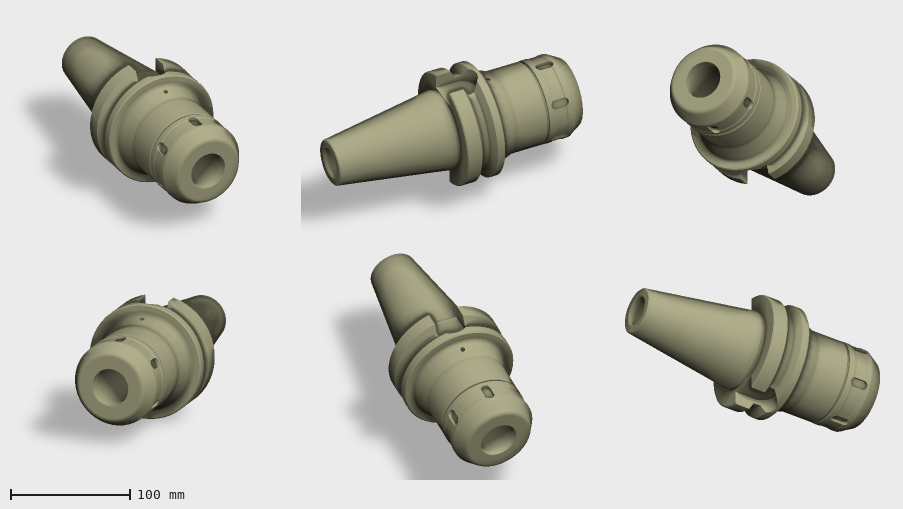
import cadquery as cq
import math


TAPER_LENGTH = 101.8
TAPER_RATIO = 7 / 24
GAUGE_RADIUS = 69.85 / 2
TAPER_SMALL_RADIUS = GAUGE_RADIUS - TAPER_LENGTH * TAPER_RATIO / 2
TAPER_END_CHAMFER = 0.9
NECK_RADIUS = 68.9 / 2
NECK_START = 0.6
NECK_END = 2.2
NECK_SHOULDER_RADIUS = 69.4 / 2

FLANGE_RADIUS = 50.0
FLANGE_START = 3.0
FLANGE_END = 38.0
FLANGE_CHAMFER = 1.0
GROOVE_RADIUS = 42.5
GROOVE_CENTRE = 23.45
GROOVE_FLOOR_WIDTH = 5.9
GROOVE_FLANK_ANGLE = math.radians(30)
GROOVE_FLANK_RUN = (FLANGE_RADIUS - GROOVE_RADIUS) * math.tan(GROOVE_FLANK_ANGLE)
GROOVE_FLOOR_START = GROOVE_CENTRE - GROOVE_FLOOR_WIDTH / 2
GROOVE_FLOOR_END = GROOVE_CENTRE + GROOVE_FLOOR_WIDTH / 2

DRIVE_SLOT_ANGLES = (0, 180)
DRIVE_SLOT_WIDTH = 25.7
DRIVE_SLOT_FLOOR = 35.4
DRIVE_SLOT_END = 34.2

BODY_RADIUS = 72.5 / 2
CONE_ROOT_RADIUS = 42.0
CONE_END = 54.5
CONE_FILLET = 2.3
BODY_END = 83.6
BODY_EDGE_CHAMFER = 0.6
UNDERCUT_RADIUS = 69.4 / 2

NUT_START = 85.5
NUT_END = 120.0
NUT_RADIUS = 73.0 / 2
NUT_BACK_CHAMFER = 0.5
BAND_RADIUS = 71.9 / 2
BAND_START = 90.7
BAND_FLOOR_START = 92.0
BAND_FLOOR_END = 102.2
BAND_END = 102.8
NOSE_ANGLE = math.radians(30)
NOSE_CONE_START = 107.4
NOSE_SHOULDER_FILLET = 2.6
NOSE_TIP_FILLET = 4.0

WRENCH_SLOT_COUNT = 6
WRENCH_SLOT_WIDTH = 8.0
WRENCH_SLOT_LENGTH = 16.0
WRENCH_SLOT_CENTRE = 97.2
WRENCH_SLOT_FLOOR = 32.5

SCREW_HOLE_X = 45.0
SCREW_HOLE_DIAMETER = 4.0
SCREW_TIP_DIAMETER = 3.4
SCREW_HOLE_FLOOR = 34.0
SCREW_HEAD_FLOOR = 37.0

ENTRY_RADIUS = 25.0 / 2
ENTRY_MOUTH_RADIUS = 27.0 / 2
ENTRY_DEPTH = 11.0
THREAD_RADIUS = 21.3 / 2
THREAD_END_DEPTH = 70.0
THREAD_CHAMFER_RADIUS = 24.0 / 2
THREAD_LEAD_IN = 0.8
THROUGH_RADIUS = 18.0 / 2
CLAMP_RADIUS = 32.0 / 2
CLAMP_MOUTH_RADIUS = 32.5 / 2
CLAMP_DEPTH = 90.0

EDGE_TOLERANCE = 0.001


def revolve_about_x(outline):
    return outline.close().revolve(360, (0, 0, 0), (1, 0, 0))


def fillet_circle(solid, x, radius, fillet):
    """Round the circular edge of the given radius that lies at position x on the axis."""

    def is_rim(edge):
        if edge.geomType() != "CIRCLE":
            return False
        same_place = math.isclose(edge.arcCenter().x, x, abs_tol=EDGE_TOLERANCE)
        return same_place and math.isclose(edge.radius(), radius, abs_tol=EDGE_TOLERANCE)

    return solid.edges().filter(is_rim).fillet(fillet)


def make_holder():
    tip_radius = NUT_RADIUS - (NUT_END - NOSE_CONE_START) * math.tan(NOSE_ANGLE)
    taper_rim_x = -TAPER_LENGTH + TAPER_END_CHAMFER
    taper_rim_radius = TAPER_SMALL_RADIUS + TAPER_END_CHAMFER * TAPER_RATIO / 2
    outline = (
        cq.Workplane("XY")
        .moveTo(-TAPER_LENGTH, 0)
        .lineTo(-TAPER_LENGTH, TAPER_SMALL_RADIUS - TAPER_END_CHAMFER)
        .lineTo(taper_rim_x, taper_rim_radius)
        .lineTo(0, GAUGE_RADIUS)
        .lineTo(NECK_START, NECK_RADIUS)
        .lineTo(NECK_END, NECK_RADIUS)
        .lineTo(FLANGE_START, NECK_SHOULDER_RADIUS)
        .lineTo(FLANGE_START, FLANGE_RADIUS - FLANGE_CHAMFER)
        .lineTo(FLANGE_START + FLANGE_CHAMFER, FLANGE_RADIUS)
        .lineTo(GROOVE_FLOOR_START - GROOVE_FLANK_RUN, FLANGE_RADIUS)
        .lineTo(GROOVE_FLOOR_START, GROOVE_RADIUS)
        .lineTo(GROOVE_FLOOR_END, GROOVE_RADIUS)
        .lineTo(GROOVE_FLOOR_END + GROOVE_FLANK_RUN, FLANGE_RADIUS)
        .lineTo(FLANGE_END - FLANGE_CHAMFER, FLANGE_RADIUS)
        .lineTo(FLANGE_END, FLANGE_RADIUS - FLANGE_CHAMFER)
        .lineTo(FLANGE_END, CONE_ROOT_RADIUS)
        .lineTo(CONE_END, BODY_RADIUS)
        .lineTo(BODY_END - BODY_EDGE_CHAMFER, BODY_RADIUS)
        .lineTo(BODY_END, BODY_RADIUS - BODY_EDGE_CHAMFER)
        .lineTo(BODY_END, UNDERCUT_RADIUS)
        .lineTo(NUT_START, UNDERCUT_RADIUS)
        .lineTo(NUT_START, NUT_RADIUS - NUT_BACK_CHAMFER)
        .lineTo(NUT_START + NUT_BACK_CHAMFER, NUT_RADIUS)
        .lineTo(BAND_START, NUT_RADIUS)
        .lineTo(BAND_FLOOR_START, BAND_RADIUS)
        .lineTo(BAND_FLOOR_END, BAND_RADIUS)
        .lineTo(BAND_END, NUT_RADIUS)
        .lineTo(NOSE_CONE_START, NUT_RADIUS)
        .lineTo(NUT_END, tip_radius)
        .lineTo(NUT_END, 0)
    )
    holder = revolve_about_x(outline)
    holder = fillet_circle(holder, FLANGE_END, CONE_ROOT_RADIUS, CONE_FILLET)
    holder = fillet_circle(holder, CONE_END, BODY_RADIUS, CONE_FILLET)
    holder = fillet_circle(holder, NOSE_CONE_START, NUT_RADIUS, NOSE_SHOULDER_FILLET)
    return fillet_circle(holder, NUT_END, tip_radius, NOSE_TIP_FILLET)


def make_bores():
    back = -TAPER_LENGTH
    mouth = ENTRY_MOUTH_RADIUS - ENTRY_RADIUS
    entry_end = back + ENTRY_DEPTH
    thread_start = entry_end + THREAD_LEAD_IN
    thread_chamfer = THREAD_CHAMFER_RADIUS - THREAD_RADIUS
    clamp_mouth = CLAMP_MOUTH_RADIUS - CLAMP_RADIUS
    outline = (
        cq.Workplane("XY")
        .moveTo(back, 0)
        .lineTo(back, ENTRY_MOUTH_RADIUS)
        .lineTo(back + mouth, ENTRY_RADIUS)
        .lineTo(entry_end, ENTRY_RADIUS)
        .lineTo(entry_end, THREAD_CHAMFER_RADIUS)
        .lineTo(thread_start, THREAD_CHAMFER_RADIUS)
        .lineTo(thread_start + thread_chamfer, THREAD_RADIUS)
        .lineTo(back + THREAD_END_DEPTH, THREAD_RADIUS)
        .lineTo(back + THREAD_END_DEPTH, THROUGH_RADIUS)
        .lineTo(NUT_END - CLAMP_DEPTH, THROUGH_RADIUS)
        .lineTo(NUT_END - CLAMP_DEPTH, CLAMP_RADIUS)
        .lineTo(NUT_END - clamp_mouth, CLAMP_RADIUS)
        .lineTo(NUT_END, CLAMP_MOUTH_RADIUS)
        .lineTo(NUT_END, 0)
    )
    return revolve_about_x(outline)


def make_drive_slot():
    half_width = DRIVE_SLOT_WIDTH / 2
    arc_centre = DRIVE_SLOT_END - half_width
    return (
        cq.Workplane("XY", origin=(0, 0, DRIVE_SLOT_FLOOR))
        .moveTo(0, -half_width)
        .lineTo(arc_centre, -half_width)
        .threePointArc((DRIVE_SLOT_END, 0), (arc_centre, half_width))
        .lineTo(0, half_width)
        .close()
        .extrude(FLANGE_RADIUS)
    )


def make_wrench_slot():
    return (
        cq.Workplane("XY", origin=(WRENCH_SLOT_CENTRE, 0, WRENCH_SLOT_FLOOR))
        .slot2D(WRENCH_SLOT_LENGTH, WRENCH_SLOT_WIDTH)
        .extrude(NUT_RADIUS)
    )


def make_screw_hole():
    tip = (
        cq.Workplane("XY", origin=(SCREW_HOLE_X, 0, SCREW_HOLE_FLOOR))
        .circle(SCREW_TIP_DIAMETER / 2)
        .extrude(FLANGE_RADIUS - SCREW_HOLE_FLOOR)
    )
    head = (
        cq.Workplane("XY", origin=(SCREW_HOLE_X, 0, SCREW_HEAD_FLOOR))
        .circle(SCREW_HOLE_DIAMETER / 2)
        .extrude(FLANGE_RADIUS - SCREW_HEAD_FLOOR)
    )
    return tip.union(head)


def turned(shape, angle):
    return shape.rotate((0, 0, 0), (1, 0, 0), angle)


holder = make_holder().cut(make_bores())
for angle in DRIVE_SLOT_ANGLES:
    holder = holder.cut(turned(make_drive_slot(), angle))
for index in range(WRENCH_SLOT_COUNT):
    holder = holder.cut(turned(make_wrench_slot(), index * 360 / WRENCH_SLOT_COUNT))
result = holder.cut(make_screw_hole())